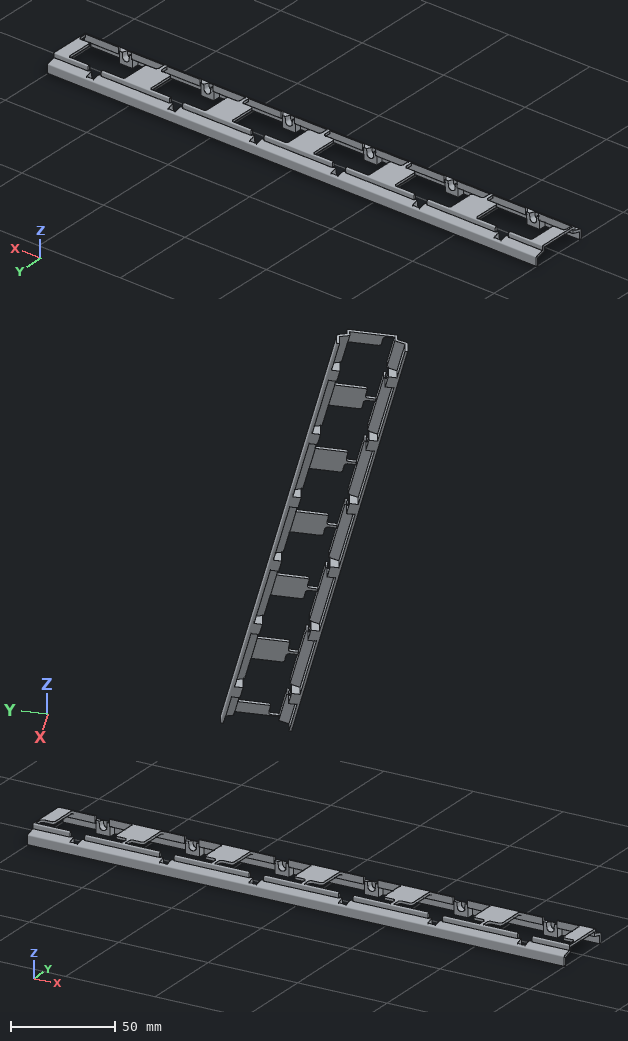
import cadquery as cq
import math

LENGTH = 300.0
WIDTH = 35.0
HEIGHT = 9.5

THICKNESS = 1.5
WALL_HALF_WIDTH = 12.5
FLANGE_ANGLE = 15.0
FLANGE_ROOT_HEIGHT = 6.82
TOP_EDGE_RADIUS = 0.75
LIP_TOP_RADIUS = 0.95
LIP_BOTTOM_RADIUS = 0.5

PITCH = 50.0
BAY_COUNT = round(LENGTH / PITCH)

TAB_WIDTH = 16.0
TAB_END_Y = -5.8
TAB_CORNER_RADIUS = 1.5
STEM_WIDTH = 2.0
STEM_ROOT_RADIUS = 1.5
TAB_ROOT_RADIUS = 1.0
ROOT_OVERLAP = 0.5
ROOT_MARGIN = 2 * TAB_ROOT_RADIUS

GAP_WIDTH = 8.0
BOSS_INNER_Y = 11.8
POCKET_FLOOR_RADIUS = 2.05
POCKET_FLOOR_HEIGHT = 2.5
POCKET_DRAFT = 4.0
POCKET_END_Y = 15.8

HALF_LENGTH = LENGTH / 2
HALF_WIDTH = WIDTH / 2
WALL_INNER_Y = WALL_HALF_WIDTH - THICKNESS
LIP_INNER_Y = HALF_WIDTH - THICKNESS
FLANGE_SLOPE = math.tan(math.radians(FLANGE_ANGLE))
FLANGE_DROP = THICKNESS / math.cos(math.radians(FLANGE_ANGLE))

TAB_CENTRES = [-HALF_LENGTH + PITCH * i for i in range(BAY_COUNT + 1)]
GAP_CENTRES = [-HALF_LENGTH + PITCH * (i + 0.5) for i in range(BAY_COUNT)]


def flange_top(y):
    """Height of the flange's upper face at distance y from the centre plane."""
    return FLANGE_ROOT_HEIGHT - (y - WALL_HALF_WIDTH) * FLANGE_SLOPE


def flange_underside(y):
    return flange_top(y) - FLANGE_DROP


def x_prism(points, length):
    """Extrude a (y, z) outline along X, centred on the middle of the rail."""
    return cq.Workplane("YZ").polyline(points).close().extrude(length / 2, both=True)


def box_between(x_range, y_range, z_range):
    (x0, x1), (y0, y1), (z0, z1) = x_range, y_range, z_range
    return cq.Workplane("XY").box(x1 - x0, y1 - y0, z1 - z0, centered=False).translate((x0, y0, z0))


def side_rail():
    """Wall, sloping flange and lip on the +Y side."""
    rail = x_prism(
        [
            (WALL_INNER_Y, HEIGHT),
            (WALL_HALF_WIDTH, HEIGHT),
            (WALL_HALF_WIDTH, FLANGE_ROOT_HEIGHT),
            (HALF_WIDTH, flange_top(HALF_WIDTH)),
            (HALF_WIDTH, 0),
            (LIP_INNER_Y, 0),
            (LIP_INNER_Y, flange_underside(LIP_INNER_Y)),
            (WALL_INNER_Y, flange_underside(WALL_INNER_Y)),
        ],
        LENGTH,
    )

    def round_edge(body, y, z, radius):
        return body.edges(cq.NearestToPointSelector((0, y, z))).fillet(radius)

    rail = round_edge(rail, WALL_HALF_WIDTH, HEIGHT, TOP_EDGE_RADIUS)
    rail = round_edge(rail, HALF_WIDTH, flange_top(HALF_WIDTH), LIP_TOP_RADIUS)
    return round_edge(rail, HALF_WIDTH, 0, LIP_BOTTOM_RADIUS)


def boss(x):
    """Block in the wall gap, its top in line with the flange and its back against the lip."""
    outline = [
        (BOSS_INNER_Y, 0),
        (LIP_INNER_Y, 0),
        (LIP_INNER_Y, flange_top(LIP_INNER_Y)),
        (BOSS_INNER_Y, flange_top(BOSS_INNER_Y)),
    ]
    return x_prism(outline, GAP_WIDTH).translate((x, 0, 0))


def wall_gap(x):
    """Cutter that removes the wall over its full height."""
    half = GAP_WIDTH / 2
    return box_between((x - half, x + half), (0, WALL_HALF_WIDTH), (0, HEIGHT))


def pocket(x):
    """Cutter for the U-shaped pocket, open upwards and towards the centre plane."""
    draft = math.radians(POCKET_DRAFT)
    axis_height = POCKET_FLOOR_HEIGHT + POCKET_FLOOR_RADIUS
    tangent_half_width = POCKET_FLOOR_RADIUS * math.cos(draft)
    tangent_height = axis_height - POCKET_FLOOR_RADIUS * math.sin(draft)
    top_half_width = tangent_half_width + (HEIGHT - tangent_height) * math.tan(draft)
    return (
        cq.Workplane("XZ")
        .moveTo(x - top_half_width, HEIGHT)
        .lineTo(x - tangent_half_width, tangent_height)
        .threePointArc((x, POCKET_FLOOR_HEIGHT), (x + tangent_half_width, tangent_height))
        .lineTo(x + top_half_width, HEIGHT)
        .close()
        .extrude(-POCKET_END_Y)
    )


def tab(x):
    """Plate hanging from the +Y wall, tied to the -Y wall by a narrow stem."""
    bottom = HEIGHT - THICKNESS
    heights = (bottom, HEIGHT)
    middle = (bottom + HEIGHT) / 2

    def crosspiece(width, y_range):
        return box_between((x - width / 2, x + width / 2), y_range, heights)

    def round_corners(body, width, y, radius):
        for side in (-1, 1):
            corner = cq.NearestToPointSelector((x + side * width / 2, y, middle))
            body = body.edges(corner).fillet(radius)
        return body

    plate = crosspiece(TAB_WIDTH, (TAB_END_Y, WALL_INNER_Y))
    plate = plate.union(crosspiece(STEM_WIDTH, (-WALL_INNER_Y, TAB_END_Y)))
    root_width = TAB_WIDTH + 2 * ROOT_MARGIN
    plate = plate.union(crosspiece(root_width, (WALL_INNER_Y, WALL_INNER_Y + ROOT_OVERLAP)))
    plate = round_corners(plate, TAB_WIDTH, TAB_END_Y, TAB_CORNER_RADIUS)
    plate = round_corners(plate, STEM_WIDTH, TAB_END_Y, STEM_ROOT_RADIUS)
    return round_corners(plate, TAB_WIDTH, WALL_INNER_Y, TAB_ROOT_RADIUS)


rail = side_rail()
for centre in GAP_CENTRES:
    rail = rail.cut(wall_gap(centre)).union(boss(centre)).cut(pocket(centre))

result = rail.union(rail.mirror("XZ"))
for centre in TAB_CENTRES:
    result = result.union(tab(centre))

envelope = box_between((-HALF_LENGTH, HALF_LENGTH), (-HALF_WIDTH, HALF_WIDTH), (0, HEIGHT))
result = result.intersect(envelope)